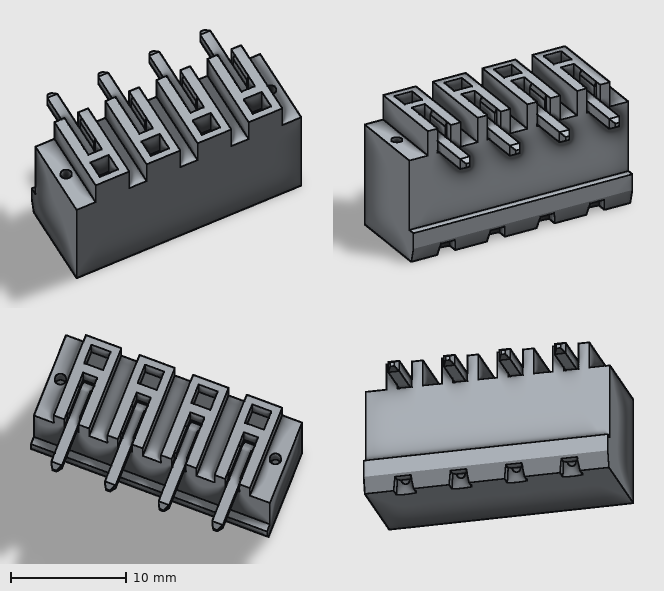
import cadquery as cq
import math

length = 22.0
height = 12.2
depth = 7.79
shoulder_height = 9.81

contact_count = 4
pitch = 5.0
contact_ys = [(i - (contact_count - 1) / 2) * pitch for i in range(contact_count)]

tower_width = 3.3

lip_reach = 0.7
lip_top = 3.0
lip_slope_start = 1.45
lip_bottom_reach = 0.33

pin_width = 1.0
pin_tip_x = -4.11
pin_taper_length = 0.53
pin_tip_width = 0.37
pin_back_x = 4.38
pin_leg_embed = 0.65
slot_width = 1.32
slot_back_x = 4.53
grip_start_x = 0.7
grip_end_x = 3.28
grip_lead_in = 0.45

window_size = 1.78
window_x = 6.25

end_hole_diameter = 1.0
end_hole_spacing = 20.02
end_hole_depth = 2.0

entry_height = 1.19
entry_bottom_width = 1.8
entry_top_width = 1.4
entry_mouth_diameter = 3.08
entry_end_diameter = 0.75
entry_tilt = math.radians(35)
entry_cone_length = 0.42
entry_end_x = 0.26
entry_end_z = 1.17
entry_mouth_length = 2.2
entry_reach = 2.2


def block(x_min, x_max, y_centre, y_width, z_min, z_max):
    """Box given by its X and Z limits and its centre and width in Y."""
    return (
        cq.Workplane("XY")
        .box(x_max - x_min, y_width, z_max - z_min, centered=(False, True, False))
        .translate((x_min, y_centre, z_min))
    )


def make_base():
    """Housing up to the shoulder, with the sloped lip."""
    return (
        cq.Workplane("XZ", origin=(0, length / 2, 0))
        .moveTo(-lip_bottom_reach, 0)
        .lineTo(depth, 0)
        .lineTo(depth, shoulder_height)
        .lineTo(0, shoulder_height)
        .lineTo(0, lip_top)
        .lineTo(-lip_reach, lip_top)
        .lineTo(-lip_reach, lip_slope_start)
        .close()
        .extrude(length)
    )


def make_tower(y):
    """Tower with an open pin slot, two gripping pads and a square window."""
    tower = block(0, depth, y, tower_width, shoulder_height, height)
    tower = tower.cut(block(0, slot_back_x, y, slot_width, shoulder_height, height))
    window_start = window_x - window_size / 2
    window = block(window_start, window_start + window_size, y, window_size, shoulder_height, height)
    tower = tower.cut(window)
    for side in (-1, 1):
        pad = (
            cq.Workplane("YZ", origin=(grip_start_x, y, 0))
            .moveTo(side * slot_width / 2, shoulder_height)
            .lineTo(side * pin_width / 2, shoulder_height)
            .lineTo(side * pin_width / 2, height - grip_lead_in)
            .lineTo(side * slot_width / 2, height)
            .close()
            .extrude(grip_end_x - grip_start_x)
        )
        tower = tower.union(pad)
    return tower


def make_pin(y):
    """Square pin with a tapered tip and a rounded bend into the housing."""
    taper_x = pin_tip_x + pin_taper_length
    pin_top = shoulder_height + pin_width
    bend_x = pin_back_x - pin_width
    arc_offset = pin_width * math.sqrt(0.5)
    shank = (
        cq.Workplane("XZ", origin=(0, y + pin_width / 2, 0))
        .moveTo(taper_x, shoulder_height)
        .lineTo(taper_x, pin_top)
        .lineTo(bend_x, pin_top)
        .threePointArc(
            (bend_x + arc_offset, shoulder_height + arc_offset),
            (pin_back_x, shoulder_height),
        )
        .lineTo(pin_back_x, shoulder_height - pin_leg_embed)
        .lineTo(bend_x, shoulder_height - pin_leg_embed)
        .lineTo(bend_x, shoulder_height)
        .close()
        .extrude(pin_width)
    )
    tip = (
        cq.Workplane("YZ", origin=(pin_tip_x, y, shoulder_height + pin_width / 2))
        .rect(pin_tip_width, pin_tip_width)
        .workplane(offset=pin_taper_length)
        .rect(pin_width, pin_width)
        .loft()
    )
    return shank.union(tip)


def make_entry(y):
    """Cutter for a conical entry slanted downwards, limited by tapered side walls."""
    outward = cq.Vector(-math.cos(entry_tilt), 0, -math.sin(entry_tilt))
    end_centre = cq.Vector(entry_end_x, y, entry_end_z)
    mouth_centre = end_centre + outward * entry_cone_length
    mouth_radius = entry_mouth_diameter / 2
    cone = cq.Solid.makeCone(entry_end_diameter / 2, mouth_radius, entry_cone_length, end_centre, outward)
    mouth = cq.Solid.makeCylinder(mouth_radius, entry_mouth_length, mouth_centre, outward)
    walls = (
        cq.Workplane("YZ", origin=(-entry_reach, y, 0))
        .moveTo(-entry_bottom_width / 2, 0)
        .lineTo(entry_bottom_width / 2, 0)
        .lineTo(entry_top_width / 2, entry_height)
        .lineTo(-entry_top_width / 2, entry_height)
        .close()
        .extrude(2 * entry_reach)
    )
    return walls.intersect(cq.Workplane(cone).union(cq.Workplane(mouth)))


result = make_base()
for contact_y in contact_ys:
    result = result.union(make_tower(contact_y))
    result = result.union(make_pin(contact_y))
    result = result.cut(make_entry(contact_y))

end_holes = (
    cq.Workplane("XY", origin=(depth / 2, 0, shoulder_height - end_hole_depth))
    .rarray(0.22, end_hole_spacing, 1, 2)
    .circle(end_hole_diameter / 2)
    .extrude(end_hole_depth)
)
result = result.cut(end_holes)